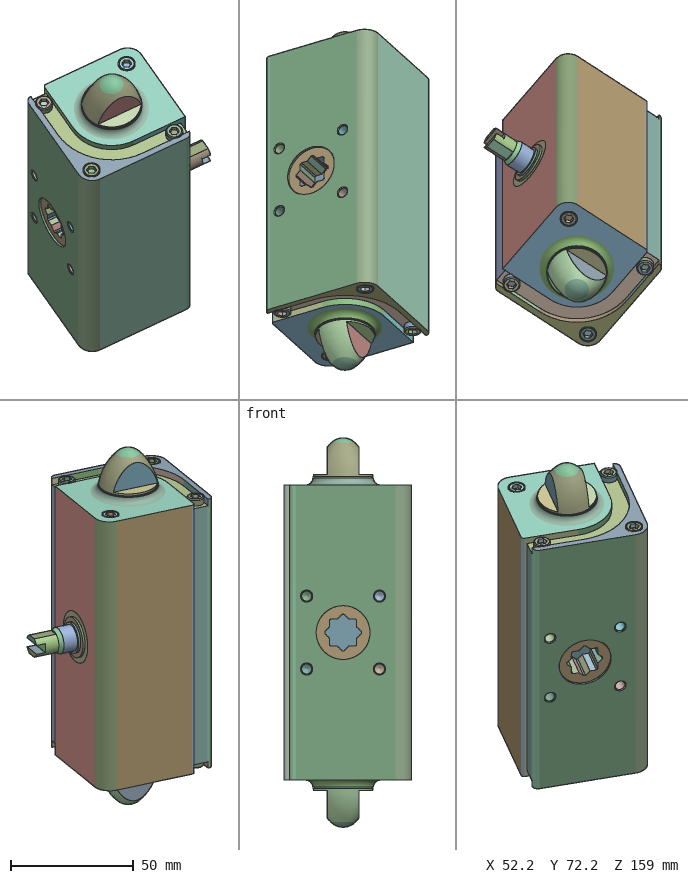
import cadquery as cq
import math


near_side = 24.2
far_side = 28.0
step_line = 18.3
step_depth = 2.2
body_height = 120.5
main_corner_radius = 6.5
step_corner_radius = 2.7
step_edge_radius = 1.3

channel_depth = 2.9
channel_outer_radius = 25.5

screw_near = 16.7
screw_far = 22.3
screw_head_diameter = 7.0
screw_chamfer = 0.5
hex_corner_diameter = 4.0
hex_depth = 1.9

total_height = 159.0
flare_radius = 2.9
flare_top_radius = 12.4
dome_foot_radius = 12.2
groove_width = 0.5
groove_depth = 0.3
shoulder_height = 4.3
blade_width = 13.0
dome_side_radius = 26.2
dome_tip_radius = 5.0
dome_tip_height = 2.0

mount_pitch = 29.7
mount_hole_diameter = 4.1
mount_mouth_diameter = 5.0
mount_hole_depth = 8.0
drill_point_angle = 118.0

pinion_diameter = 22.0
pinion_recess = 1.0
star_across_flats = 11.1
star_tip_diameter = 15.0
star_depth = 12.0
collar_diameter = 17.0
ring_diameter = 13.0
collar_thickness = 1.0
neck_diameter = 11.1
neck_end = 32.3
tip_diameter = 9.4
tip_start = 34.2
tip_across_flats = 8.3
pinion_end = 44.2
slot_width = 4.0
slot_depth = 4.0

half_height = body_height / 2
dome_height = (total_height - body_height) / 2
OVERSHOOT = 1.6


def both_ends(feature):
    """A feature of the top end together with its mirror image at the bottom end."""
    return feature.add(feature.mirror("XY").vals()).combine()


def make_block():
    step_side = near_side - step_depth
    outline = [
        (-near_side, near_side),
        (step_line, near_side),
        (step_line, step_side),
        (far_side, step_side),
        (far_side, -far_side),
        (-step_side, -far_side),
        (-step_side, -step_line),
        (-near_side, -step_line),
    ]
    block = cq.Workplane("XY").polyline(outline).close().extrude(half_height, both=True)
    rounded_corners = [
        (-near_side, near_side, main_corner_radius),
        (far_side, -far_side, main_corner_radius),
        (far_side, step_side, step_corner_radius),
        (-step_side, -far_side, step_corner_radius),
        (-near_side, -step_line, step_edge_radius),
    ]
    for x, y, radius in rounded_corners:
        block = block.edges(cq.NearestToPointSelector((x, y, 0))).fillet(radius)
    return block


def make_channel():
    """L-shaped channel: two straight legs joined by a bend about the dome axis."""
    reach = far_side + OVERSHOOT
    bend = math.sqrt(0.5)
    return (
        cq.Workplane("XY", origin=(0, 0, half_height - channel_depth))
        .moveTo(-reach, -step_line)
        .lineTo(0, -step_line)
        .threePointArc(
            (step_line * bend, -step_line * bend),
            (step_line, 0),
        )
        .lineTo(step_line, reach)
        .lineTo(channel_outer_radius, reach)
        .lineTo(channel_outer_radius, 0)
        .threePointArc(
            (channel_outer_radius * bend, -channel_outer_radius * bend),
            (0, -channel_outer_radius),
        )
        .lineTo(-reach, -channel_outer_radius)
        .close()
        .extrude(channel_depth + OVERSHOOT)
    )


def screw_places():
    return [(x, y) for x in (-screw_near, screw_far) for y in (-screw_far, screw_near)]


def make_screw_seats():
    return (
        cq.Workplane("XY", origin=(0, 0, half_height - channel_depth))
        .pushPoints(screw_places())
        .circle(screw_head_diameter / 2)
        .extrude(channel_depth + OVERSHOOT)
    )


def make_screw_heads():
    heads = (
        cq.Workplane("XY", origin=(0, 0, half_height - channel_depth))
        .pushPoints(screw_places())
        .circle(screw_head_diameter / 2)
        .extrude(channel_depth)
        .faces(">Z")
        .edges()
        .chamfer(screw_chamfer)
    )
    sockets = (
        cq.Workplane("XY", origin=(0, 0, half_height - hex_depth))
        .pushPoints(screw_places())
        .polygon(6, hex_corner_diameter)
        .extrude(hex_depth)
    )
    return heads.cut(sockets)


def make_dome():
    """Ogive on a flared foot, flattened on two sides to a blade."""
    tip_base = dome_height - dome_tip_height
    groove_top = flare_radius + groove_width
    groove_radius = dome_foot_radius - groove_depth
    flare_mid = flare_radius * (1 - math.sqrt(0.5))
    tip_radius = (dome_tip_radius**2 + dome_tip_height**2) / (2 * dome_tip_height)
    tip_mid_x = dome_tip_radius / 2
    tip_mid_z = dome_height - tip_radius + math.sqrt(tip_radius**2 - tip_mid_x**2)
    dome = (
        cq.Workplane("XZ")
        .moveTo(0, 0)
        .lineTo(flare_top_radius + flare_radius, 0)
        .threePointArc(
            (flare_top_radius + flare_mid, flare_mid),
            (flare_top_radius, flare_radius),
        )
        .lineTo(groove_radius, flare_radius)
        .lineTo(groove_radius, groove_top)
        .lineTo(dome_foot_radius, groove_top)
        .radiusArc((dome_tip_radius, tip_base), -dome_side_radius)
        .threePointArc((tip_mid_x, tip_mid_z), (0, dome_height))
        .close()
        .revolve(360, (0, 0, 0), (0, 1, 0))
    )
    cheek_width = dome_foot_radius
    for side in (-1, 1):
        cheek = cq.Workplane("XY", origin=(0, 0, shoulder_height)).box(
            cheek_width, 2 * dome_foot_radius, dome_height, centered=(True, True, False)
        )
        dome = dome.cut(cheek.translate((side * (blade_width + cheek_width) / 2, 0, 0)))
    return dome.translate((0, 0, half_height))


def make_mount_holes():
    radius = mount_hole_diameter / 2
    mouth_radius = mount_mouth_diameter / 2
    mouth_depth = mouth_radius - radius
    point_depth = radius / math.tan(math.radians(drill_point_angle / 2))
    profile = [
        (0, 0),
        (mouth_radius, 0),
        (radius, mouth_depth),
        (radius, mount_hole_depth),
        (0, mount_hole_depth + point_depth),
    ]
    hole = (
        cq.Workplane("XY")
        .polyline(profile)
        .close()
        .revolve(360, (0, 0, 0), (0, 1, 0))
        .translate((0, -far_side, 0))
    )
    offsets = (-mount_pitch / 2, mount_pitch / 2)
    holes = cq.Workplane("XY")
    for x in offsets:
        for z in offsets:
            holes = holes.add(hole.translate((x, 0, z)))
    return holes.combine()


def cylinder_along_y(diameter, start, end):
    return cq.Workplane("XZ", origin=(0, start, 0)).circle(diameter / 2).extrude(start - end)


def make_housing():
    housing = make_block()
    housing = housing.cut(both_ends(make_channel()))
    housing = housing.cut(both_ends(make_screw_seats()))
    housing = housing.union(both_ends(make_screw_heads()))
    housing = housing.union(both_ends(make_dome()))
    housing = housing.cut(make_mount_holes())
    return housing.cut(cylinder_along_y(pinion_diameter, -far_side, near_side))


def make_star_socket(start):
    """Eight-pointed star: two squares turned by 45 degrees, with the points cut off by a cylinder."""
    squares = [
        cq.Workplane("XZ", origin=(0, start, 0))
        .transformed(rotate=(0, 0, angle))
        .rect(star_across_flats, star_across_flats)
        .extrude(-star_depth)
        for angle in (0, 45)
    ]
    star = squares[0].union(squares[1])
    return star.intersect(cylinder_along_y(star_tip_diameter, start, start + star_depth))


def make_pinion():
    front = pinion_recess - far_side
    ring_start = near_side + collar_thickness
    ring_end = ring_start + collar_thickness
    profile = [
        (0, front),
        (pinion_diameter / 2, front),
        (pinion_diameter / 2, near_side),
        (collar_diameter / 2, near_side),
        (collar_diameter / 2, ring_start),
        (ring_diameter / 2, ring_start),
        (ring_diameter / 2, ring_end),
        (neck_diameter / 2, ring_end),
        (neck_diameter / 2, neck_end),
        (tip_diameter / 2, tip_start),
        (tip_diameter / 2, pinion_end),
        (0, pinion_end),
    ]
    pinion = cq.Workplane("XY").polyline(profile).close().revolve(360, (0, 0, 0), (0, 1, 0))

    flat_length = pinion_end - tip_start
    flat_tool = cq.Workplane("XY").box(tip_diameter, flat_length, tip_diameter)
    for side in (-1, 1):
        flat_height = side * (tip_across_flats + tip_diameter) / 2
        pinion = pinion.cut(flat_tool.translate((0, tip_start + flat_length / 2, flat_height)))

    slot = cq.Workplane("XY").box(tip_diameter, slot_depth, slot_width)
    pinion = pinion.cut(slot.translate((0, pinion_end - slot_depth / 2, 0)))
    return pinion.cut(make_star_socket(front))


housing = make_housing()
pinion = make_pinion()
result = cq.Compound.makeCompound([housing.solids().val(), pinion.solids().val()])